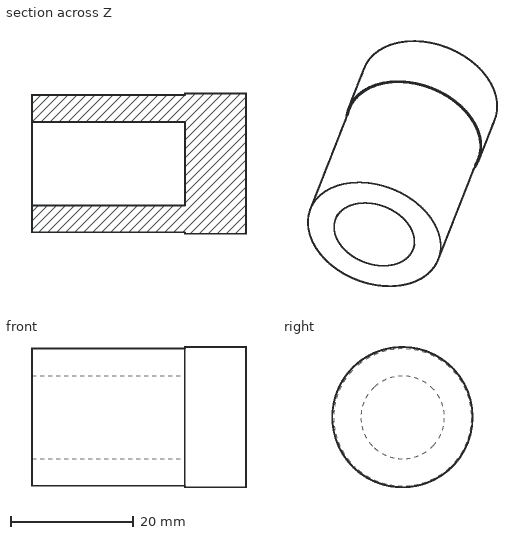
import cadquery as cq

total_length = 35.0
collar_diameter = 23.0
collar_length = 10.0
body_diameter = 22.5
bore_diameter = 13.6

body_length = total_length - collar_length
bore_depth = body_length


def cylinder_along_x(start, length, diameter):
    """Solid cylinder on the X axis, starting at the given X position."""
    return cq.Workplane("YZ", origin=(start, 0, 0)).circle(diameter / 2).extrude(length)


body = cylinder_along_x(0, body_length, body_diameter)
collar = cylinder_along_x(body_length, collar_length, collar_diameter)
bore = cylinder_along_x(0, bore_depth, bore_diameter)

result = body.union(collar).cut(bore)